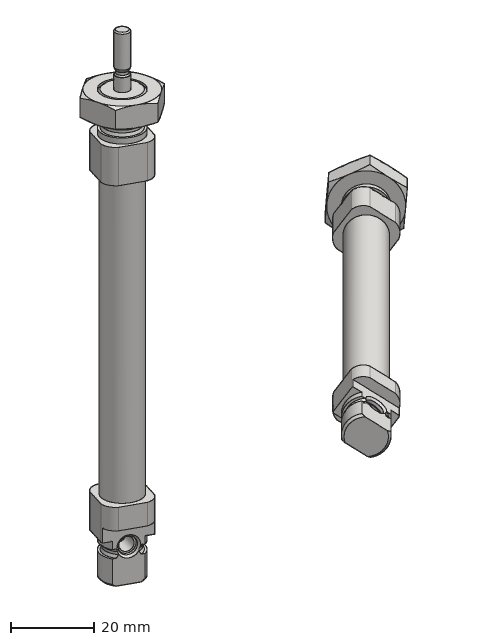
import cadquery as cq
import math

TOTAL_LENGTH = 146.0
CLEVIS_SHOULDER_Z = 12.1
REAR_STEP_Z = 16.0
REAR_BLOCK_TOP_Z = 22.3
FRONT_BLOCK_BOTTOM_Z = 108.0
FRONT_BLOCK_TOP_Z = 118.3
NECK_TOP_Z = 130.1

TUBE_DIAMETER = 11.2
BLOCK_FLATS = 13.9
BLOCK_FLAT_WIDTH = 7.5
BLOCK_DIAGONAL = 16.4
THREAD_DIAMETER = 12.0
THREAD_CHAMFER = 0.65
GROOVE_DIAMETER = 10.0
GROOVE_LIP_DIAMETER = 10.7
GROOVE_WIDTH = 2.5
GROOVE_SLOPE = 0.9
FRONT_GROOVE_Z = 119.9
REAR_GROOVE_Z = 7.5

TANG_THICKNESS = 8.5
PIVOT_DIAMETER = 4.0
PIVOT_COUNTERBORE_DIAMETER = 5.0
PIVOT_COUNTERBORE_DEPTH = 1.5
PIVOT_RIM_DIAMETER = 6.1
PIVOT_Z = 10.1

NUT_FLATS = 19.0
NUT_HEIGHT = 6.1
NUT_CORNERS = NUT_FLATS / math.cos(math.radians(30))
NUT_CHAMFER_ANGLE = 20.0

ROD_DIAMETER = 4.1
ROD_GROOVE_DIAMETER = 3.2
ROD_GROOVE_BOTTOM_Z = 134.0
ROD_GROOVE_TOP_Z = 135.6
ROD_GROOVE_SLOPE = 0.5
ROD_BEVEL_WIDTH = 0.1
ROD_BEVEL_HEIGHT = 0.5
ROD_TIP_CHAMFER = 0.36
ROD_BOTTOM_Z = FRONT_BLOCK_BOTTOM_Z


def cylinder(diameter, bottom, top):
    return cq.Workplane("XY").workplane(offset=bottom).circle(diameter / 2).extrude(top - bottom)


def centred_box(x_size, y_size, bottom, top):
    box = cq.Workplane("XY").box(x_size, y_size, top - bottom, centered=(True, True, False))
    return box.translate((0, 0, bottom))


def end_block(bottom, top):
    """Square block whose four corners are arcs bulging outward between the flats."""
    flat = BLOCK_FLATS / 2
    end = BLOCK_FLAT_WIDTH / 2
    bulge = BLOCK_DIAGONAL / 2 * math.cos(math.radians(45))
    return (
        cq.Workplane("XY")
        .workplane(offset=bottom)
        .moveTo(flat, -end)
        .lineTo(flat, end)
        .threePointArc((bulge, bulge), (end, flat))
        .lineTo(-end, flat)
        .threePointArc((-bulge, bulge), (-flat, end))
        .lineTo(-flat, -end)
        .threePointArc((-bulge, -bulge), (-end, -flat))
        .lineTo(end, -flat)
        .threePointArc((bulge, -bulge), (flat, -end))
        .close()
        .extrude(top - bottom)
    )


def relief_groove(bottom):
    """Ring that cuts a thread relief with sloped walls."""
    top = bottom + GROOVE_WIDTH
    lip = GROOVE_LIP_DIAMETER / 2
    root = GROOVE_DIAMETER / 2
    outside = THREAD_DIAMETER
    return (
        cq.Workplane("XZ")
        .moveTo(outside, bottom)
        .lineTo(lip, bottom)
        .lineTo(root, bottom + GROOVE_SLOPE)
        .lineTo(root, top - GROOVE_SLOPE)
        .lineTo(lip, top)
        .lineTo(outside, top)
        .close()
        .revolve(360, (0, 0, 0), (0, 1, 0))
    )


def make_front_neck():
    neck = cylinder(THREAD_DIAMETER, FRONT_BLOCK_TOP_Z, NECK_TOP_Z)
    neck = neck.faces(">Z").chamfer(THREAD_CHAMFER)
    return neck.cut(relief_groove(FRONT_GROOVE_Z))


def make_rear_end():
    """Rear block and threaded stub, flattened to a tang with a pivot hole."""
    stub = cylinder(THREAD_DIAMETER, 0, CLEVIS_SHOULDER_Z)
    stub = stub.faces("<Z").chamfer(THREAD_CHAMFER)
    stub = stub.cut(relief_groove(REAR_GROOVE_Z))
    rear = end_block(CLEVIS_SHOULDER_Z, REAR_BLOCK_TOP_Z).union(stub)
    waste = centred_box(2 * BLOCK_FLATS, 2 * BLOCK_FLATS, 0, REAR_STEP_Z).cut(
        centred_box(TANG_THICKNESS, 2 * BLOCK_FLATS, 0, REAR_STEP_Z)
    )
    rear = rear.cut(waste)
    return rear.cut(pivot_hole())


def pivot_hole():
    """Hole along X, counterbored and bevelled at both faces of the tang."""
    half = TANG_THICKNESS / 2
    bore = PIVOT_DIAMETER / 2
    rim = PIVOT_RIM_DIAMETER / 2
    counterbore = PIVOT_COUNTERBORE_DIAMETER / 2
    bevel_end = half - (rim - counterbore)
    counterbore_end = half - PIVOT_COUNTERBORE_DEPTH
    return (
        cq.Workplane("XY")
        .moveTo(-half, 0)
        .lineTo(-half, rim)
        .lineTo(-bevel_end, counterbore)
        .lineTo(-counterbore_end, counterbore)
        .lineTo(-counterbore_end, bore)
        .lineTo(counterbore_end, bore)
        .lineTo(counterbore_end, counterbore)
        .lineTo(bevel_end, counterbore)
        .lineTo(half, rim)
        .lineTo(half, 0)
        .close()
        .revolve(360, (0, 0, 0), (1, 0, 0))
        .translate((0, 0, PIVOT_Z))
    )


def make_housing():
    tube = cylinder(TUBE_DIAMETER, REAR_BLOCK_TOP_Z, FRONT_BLOCK_BOTTOM_Z)
    housing = (
        make_rear_end()
        .union(tube)
        .union(end_block(FRONT_BLOCK_BOTTOM_Z, FRONT_BLOCK_TOP_Z))
        .union(make_front_neck())
    )
    return housing.cut(cylinder(ROD_DIAMETER, ROD_BOTTOM_Z, NECK_TOP_Z))


def make_nut():
    """Hexagon with corners on the Y axis, its corners bevelled at both ends."""
    bottom = NECK_TOP_Z - NUT_HEIGHT
    hexagon = (
        cq.Workplane("XY")
        .workplane(offset=bottom)
        .transformed(rotate=(0, 0, 90))
        .polygon(6, NUT_CORNERS)
        .extrude(NUT_HEIGHT)
    )
    bevel_width = (NUT_CORNERS - NUT_FLATS) / 2
    bevel_height = bevel_width * math.tan(math.radians(NUT_CHAMFER_ANGLE))
    envelope = cylinder(NUT_CORNERS, bottom, NECK_TOP_Z)
    envelope = envelope.faces(">Z").chamfer(bevel_height, bevel_width)
    envelope = envelope.faces("<Z").chamfer(bevel_height, bevel_width)
    bore = cylinder(THREAD_DIAMETER, bottom, NECK_TOP_Z)
    return hexagon.intersect(envelope).cut(bore)


def rod_groove():
    """Ring that cuts the rod's thread relief, with the bevelled thread end above it."""
    surface = ROD_DIAMETER / 2
    root = ROD_GROOVE_DIAMETER / 2
    lip = surface - ROD_BEVEL_WIDTH
    return (
        cq.Workplane("XZ")
        .moveTo(surface, ROD_GROOVE_BOTTOM_Z)
        .lineTo(lip, ROD_GROOVE_BOTTOM_Z)
        .lineTo(root, ROD_GROOVE_BOTTOM_Z + ROD_GROOVE_SLOPE)
        .lineTo(root, ROD_GROOVE_TOP_Z - ROD_GROOVE_SLOPE)
        .lineTo(lip, ROD_GROOVE_TOP_Z)
        .lineTo(surface, ROD_GROOVE_TOP_Z + ROD_BEVEL_HEIGHT)
        .close()
        .revolve(360, (0, 0, 0), (0, 1, 0))
    )


def make_rod():
    rod = cylinder(ROD_DIAMETER, ROD_BOTTOM_Z, TOTAL_LENGTH)
    rod = rod.faces(">Z").chamfer(ROD_TIP_CHAMFER)
    return rod.cut(rod_groove())


housing = make_housing()
nut = make_nut()
rod = make_rod()

result = cq.Compound.makeCompound([housing.val(), nut.val(), rod.val()])